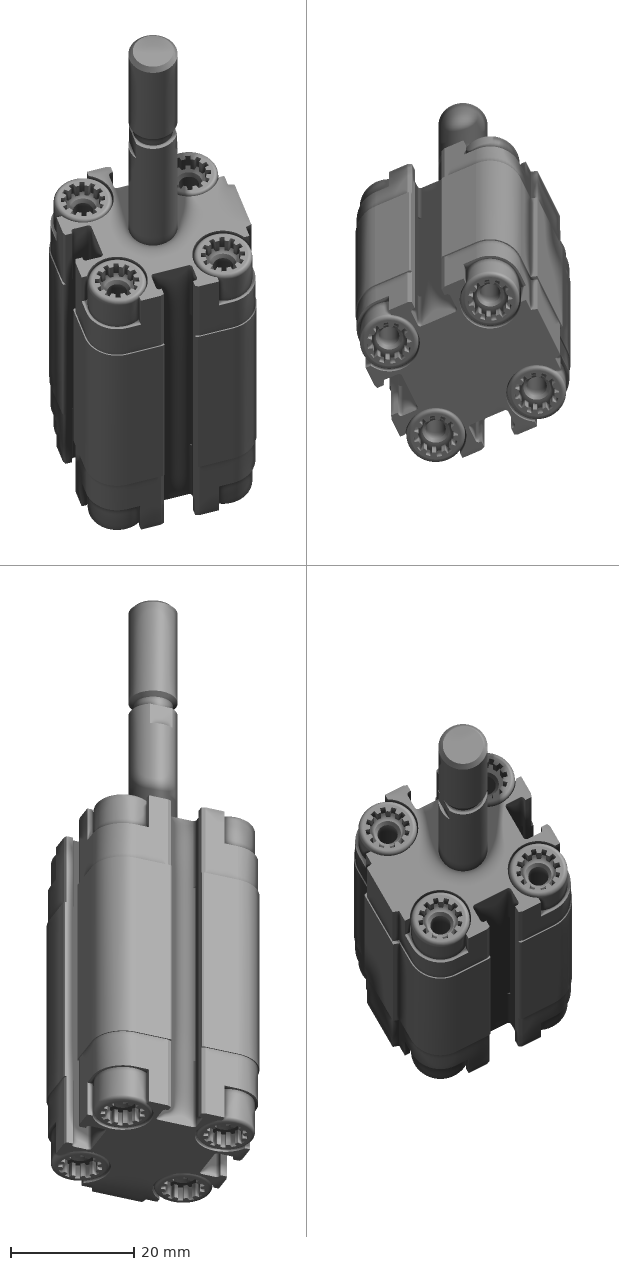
import cadquery as cq
import math

housing_height = 58.0
barrel_half_width = 14.5
end_inset = 0.2
end_height = 12.5
corner_centre = 9.0

rib_projection = 1.0
barrel_rib_half_width = 4.9
end_rib_half_width = 4.4
rib_flare = 0.3

slot_mouth_half = 2.7
slot_inside_half = 3.5
slot_floor = 9.5
slot_lip = 12.9
slot_round = 0.5
mouth_chamfer_slope = 0.4
barrel_mouth_chamfer = 0.3
end_mouth_chamfer = 0.6

post_diameter = 9.5
post_round = 0.7
recess_diameter = 9.9
recess_depth = 6.0
recess_wall_offset = 2.4

through_hole_diameter = 3.3
cone_diameter = 4.3
spline_inner_diameter = 5.7
spline_outer_diameter = 7.2
spline_count = 12
socket_depth = 2.5

total_height = 102.5
rod_diameter = 8.0
neck_diameter = 6.6
shoulder_z = 82.5
neck_top_z = 84.3
flats_bottom_z = 78.8
flats_distance = 7.0


def slot_cutter(half_width, mouth_chamfer, height):
    """Sharp-cornered T-slot on the -Y side, its mouth chamfered where it meets the outer face."""
    right_side = [
        (slot_inside_half, -slot_floor),
        (slot_inside_half, -slot_lip),
        (slot_mouth_half, -slot_lip),
        (slot_mouth_half, -half_width + mouth_chamfer * mouth_chamfer_slope),
        (slot_mouth_half + mouth_chamfer, -half_width),
    ]
    left_side = [(-x, y) for x, y in reversed(right_side)]
    return cq.Workplane("XY").polyline(right_side + left_side).close().extrude(height)


def rounded_slot_cutter(half_width, mouth_chamfer, height):
    """T-slot whose four inside corners are rounded."""
    left_corners = cq.selectors.BoxSelector(
        (-slot_inside_half - slot_round, -slot_lip - slot_round, -height),
        (-slot_mouth_half - slot_round, 0, 2 * height),
    )
    right_corners = cq.selectors.BoxSelector(
        (slot_mouth_half + slot_round, -slot_lip - slot_round, -height),
        (slot_inside_half + slot_round, 0, 2 * height),
    )
    slot = slot_cutter(half_width, mouth_chamfer, height)
    return slot.edges("|Z").edges(left_corners + right_corners).fillet(slot_round)


def section(half_width, rib_half_width, slot, height):
    """Length of the housing: rounded square with a +Y rib and three T-slots."""
    rib_root = rib_half_width + rib_flare
    rib_top = half_width + rib_projection
    rib = (
        cq.Workplane("XY")
        .polyline([
            (-rib_root, 0),
            (-rib_root, half_width),
            (-rib_half_width, rib_top),
            (rib_half_width, rib_top),
            (rib_root, half_width),
            (rib_root, 0),
        ])
        .close()
        .extrude(height)
    )
    body = (
        cq.Workplane("XY")
        .rect(2 * half_width, 2 * half_width)
        .extrude(height)
        .edges("|Z")
        .fillet(half_width - corner_centre)
        .union(rib)
    )
    for angle in (-90, 0, 90):
        body = body.cut(slot.rotate((0, 0, 0), (0, 0, 1), angle))
    return body


def corner_recess():
    """Cut around the post at the +X +Y corner, from the top face down, leaving the post."""
    bottom = housing_height - recess_depth
    wall = corner_centre - recess_wall_offset
    corner = (
        cq.Workplane("XY", origin=(wall, wall, bottom))
        .rect(barrel_half_width, barrel_half_width, centered=False)
        .extrude(recess_depth)
    )
    ring = (
        cq.Workplane("XY", origin=(corner_centre, corner_centre, bottom))
        .circle(recess_diameter / 2)
        .extrude(recess_depth)
    )
    post = (
        cq.Workplane("XY", origin=(corner_centre, corner_centre, bottom))
        .circle(post_diameter / 2)
        .extrude(recess_depth)
        .faces(">Z")
        .edges()
        .fillet(post_round)
    )
    return corner.union(ring).cut(post)


def corner_socket():
    """Splined socket with a conical floor, opening at the top of the +X +Y post."""
    mean_radius = (spline_outer_diameter + spline_inner_diameter) / 4
    flute_pitch = 360 / spline_count
    flute_width = math.pi * mean_radius / spline_count
    cone_depth = (cone_diameter - through_hole_diameter) / 2
    socket = cq.Workplane("XY").circle(spline_inner_diameter / 2).extrude(socket_depth)
    bar = cq.Workplane("XY").rect(spline_outer_diameter, flute_width).extrude(socket_depth)
    for i in range(spline_count // 2):
        socket = socket.union(bar.rotate((0, 0, 0), (0, 0, 1), (i + 0.5) * flute_pitch))
    cone = (
        cq.Workplane("XY")
        .circle(cone_diameter / 2)
        .workplane(offset=-cone_depth)
        .circle(through_hole_diameter / 2)
        .loft()
    )
    floor = housing_height - socket_depth
    return socket.union(cone).translate((corner_centre, corner_centre, floor))


def make_housing():
    """Barrel between two slightly slimmer ends, with a socketed post at both ends of each corner."""
    barrel_height = housing_height - 2 * end_height
    barrel_slot = slot_cutter(barrel_half_width, barrel_mouth_chamfer, barrel_height)
    barrel = section(barrel_half_width, barrel_rib_half_width, barrel_slot, barrel_height)

    end_half_width = barrel_half_width - end_inset
    end_slot = rounded_slot_cutter(end_half_width, end_mouth_chamfer, end_height)
    end = section(end_half_width, end_rib_half_width, end_slot, end_height)

    body = (
        barrel.translate((0, 0, end_height))
        .union(end)
        .union(end.translate((0, 0, housing_height - end_height)))
    )

    top_cut = corner_recess().union(corner_socket())
    corner_cut = top_cut.union(top_cut.mirror("XY").translate((0, 0, housing_height)))
    for planes in ((), ("YZ",), ("XZ",), ("YZ", "XZ")):
        cutter = corner_cut
        for plane in planes:
            cutter = cutter.mirror(plane)
        body = body.cut(cutter)

    through_holes = (
        cq.Workplane("XY")
        .rect(2 * corner_centre, 2 * corner_centre, forConstruction=True)
        .vertices()
        .circle(through_hole_diameter / 2)
        .extrude(housing_height)
    )
    return body.cut(through_holes)


def make_rod():
    """Rod standing on the housing: shank with two wrench flats, neck and chamfered threaded end."""
    radius = rod_diameter / 2
    neck_radius = neck_diameter / 2
    thread_chamfer = radius - neck_radius
    body = (
        cq.Workplane("XZ")
        .polyline([
            (0, housing_height),
            (radius, housing_height),
            (radius, shoulder_z),
            (neck_radius, shoulder_z),
            (neck_radius, neck_top_z),
            (radius, neck_top_z + thread_chamfer),
            (radius, total_height - thread_chamfer),
            (neck_radius, total_height),
            (0, total_height),
        ])
        .close()
        .revolve(360, (0, 0), (0, 1))
    )
    flats = (
        cq.Workplane("XY", origin=(0, 0, flats_bottom_z))
        .rect(2 * rod_diameter, 2 * rod_diameter)
        .rect(2 * rod_diameter, flats_distance)
        .extrude(shoulder_z - flats_bottom_z)
    )
    return body.cut(flats)


housing = make_housing()
rod = make_rod()
result = cq.Compound.makeCompound([housing.val(), rod.val()])